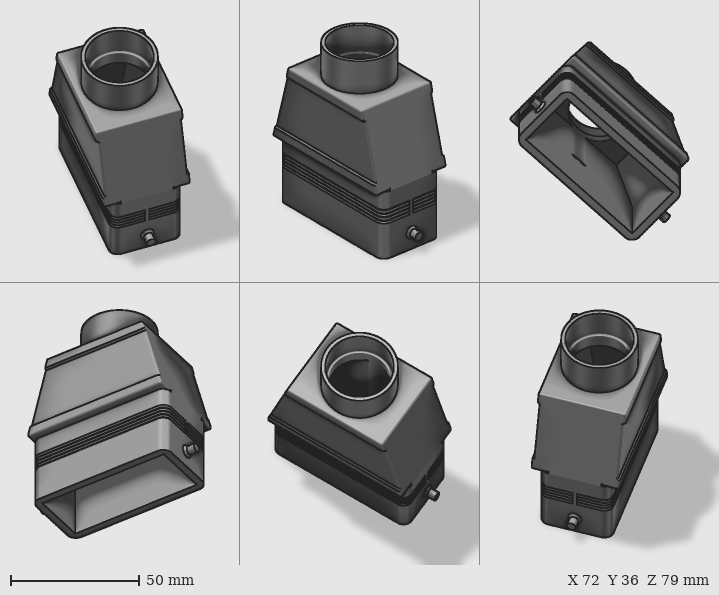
import cadquery as cq
import math

total_height = 79.0
total_length = 72.0
hood_depth = 36.0

base_length = 62.9
base_depth = 29.5
base_corner_radius = 3.9
base_height = 30.0

hood_top = 64.5
end_taper_angle = 15.0
rim_height = 4.3
rim_step = 0.8
hood_edge_radius = 0.9

neck_diameter = 30.0
neck_embed = 0.8
bore_diameter = 26.7
bore_depth = 11.9
bore_corner_radius = 0.5
throat_diameter = 24.3
throat_edge_radius = 0.2

cavity_depth = 23.3
wall = (base_depth - cavity_depth) / 2

groove_count = 4
groove_pitch = 1.6
groove_depth = 0.55
groove_band_top = 22.1
land_width = 1.7

pin_diameter = 3.6
pin_height = 7.5
collar_diameter = 5.45
collar_length = 1.1
pin_embed = 0.8

taper = math.tan(math.radians(end_taper_angle))


def make_base():
    return (
        cq.Workplane("XY")
        .rect(base_length, base_depth)
        .extrude(base_height)
        .edges("|Z")
        .fillet(base_corner_radius)
    )


def make_tapered_block(depth, top):
    """Block on top of the base with sloping ends and the given depth along Y."""
    bottom_half = base_length / 2
    top_half = bottom_half - taper * (top - base_height)
    return (
        cq.Workplane("XZ")
        .polyline([
            (-bottom_half, base_height),
            (bottom_half, base_height),
            (top_half, top),
            (-top_half, top),
        ])
        .close()
        .extrude(depth / 2, both=True)
    )


def make_hood():
    tapered_block = make_tapered_block(hood_depth, hood_top)

    rim_half = hood_depth / 2
    panel_half = rim_half - rim_step
    right_side = [
        (rim_half, base_height),
        (rim_half, base_height + rim_height),
        (panel_half, base_height + rim_height + rim_step),
        (panel_half, hood_top - rim_height - rim_step),
        (rim_half, hood_top - rim_height),
        (rim_half, hood_top),
    ]
    left_side = [(-y, z) for y, z in reversed(right_side)]
    rim_profile = (
        cq.Workplane("YZ")
        .polyline(right_side + left_side)
        .close()
        .extrude(base_length, both=True)
    )
    hood = tapered_block.intersect(rim_profile)
    end_and_top_edges = hood.faces("<X or >X or >Z or <Z").edges()
    rounded_hood = end_and_top_edges.fillet(hood_edge_radius)

    flat_end_depth = base_depth - 2 * base_corner_radius
    end_infill = make_tapered_block(flat_end_depth, base_height + rim_height)
    return rounded_hood.union(end_infill)


def make_neck():
    return (
        cq.Workplane("XY")
        .workplane(offset=hood_top - neck_embed)
        .circle(neck_diameter / 2)
        .extrude(total_height - hood_top + neck_embed)
    )


def make_pin():
    """Pin on the +X end: a cylinder rising from a conical collar."""
    face = base_length / 2
    return (
        cq.Workplane("XY")
        .polyline([
            (face - pin_embed, 0),
            (total_length / 2, 0),
            (total_length / 2, pin_diameter / 2),
            (face + collar_length, pin_diameter / 2),
            (face, collar_diameter / 2),
            (face - pin_embed, collar_diameter / 2),
        ])
        .close()
        .revolve(360, (0, 0, 0), (1, 0, 0))
        .translate((0, 0, pin_height))
    )


def make_groove(top):
    """Ring of V section following the base outline, deepest at mid-height."""
    middle = top - groove_pitch / 2
    bottom = top - groove_pitch
    ring = (
        cq.Workplane("XY")
        .workplane(offset=bottom)
        .rect(base_length, base_depth)
        .extrude(groove_pitch)
        .edges("|Z")
        .fillet(base_corner_radius)
    )
    half_angle = math.degrees(math.atan(groove_depth / (groove_pitch / 2)))
    for level, direction in ((top, -1), (bottom, 1)):
        core = (
            cq.Workplane("XY")
            .workplane(offset=level)
            .sketch()
            .rect(base_length, base_depth)
            .vertices()
            .fillet(base_corner_radius)
            .finalize()
            .extrude(direction * groove_pitch / 2, taper=half_angle)
        )
        ring = ring.cut(core)
    land = cq.Workplane("XY").box(2 * base_length, land_width, groove_pitch)
    return ring.cut(land.translate((0, 0, middle)))


def make_bore():
    """Stepped passage through the neck with a rounded ledge."""
    bore_radius = bore_diameter / 2
    throat_radius = throat_diameter / 2
    ledge = total_height - bore_depth
    return (
        cq.Workplane("XZ")
        .moveTo(0, total_height)
        .lineTo(bore_radius, total_height)
        .lineTo(bore_radius, ledge + bore_corner_radius)
        .radiusArc((bore_radius - bore_corner_radius, ledge), bore_corner_radius)
        .lineTo(throat_radius + throat_edge_radius, ledge)
        .radiusArc((throat_radius, ledge - throat_edge_radius), -throat_edge_radius)
        .lineTo(throat_radius, base_height)
        .lineTo(0, base_height)
        .close()
        .revolve(360, (0, 0, 0), (0, 1, 0))
    )


def make_cavity():
    roof = hood_top - wall
    bottom_half = base_length / 2 - wall
    roof_half = bottom_half - taper * (roof - base_height)
    return (
        cq.Workplane("XZ")
        .polyline([
            (-bottom_half, 0),
            (bottom_half, 0),
            (bottom_half, base_height),
            (roof_half, roof),
            (-roof_half, roof),
            (-bottom_half, base_height),
        ])
        .close()
        .extrude(cavity_depth / 2, both=True)
    )


result = make_base().union(make_hood()).union(make_neck())
result = result.cut(make_cavity()).cut(make_bore())
for index in range(groove_count):
    result = result.cut(make_groove(groove_band_top - index * groove_pitch))
pin = make_pin()
result = result.union(pin).union(pin.mirror("YZ"))